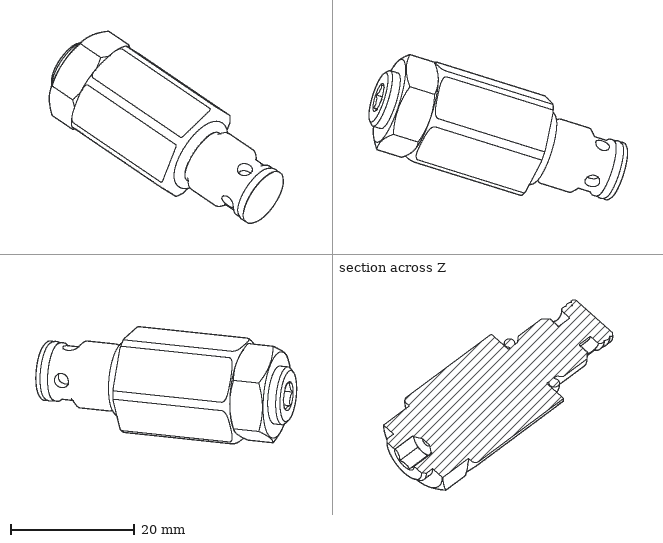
import cadquery as cq
import math


overall_length = 41.86
nut_start = 1.92
body_start = 7.6
body_end = 27.15
large_land_start = 29.2
large_land_end = 36.3
small_land_start = 38.62
seal_groove_start = 39.77
seal_groove_end = 41.05

screw_radius = 4.73
screw_chamfer = 0.55
socket_across_flats = 3.969
socket_depth = 4.0
socket_drill_radius = 2.04
socket_drill_tip_angle = math.radians(118)
socket_drill_end_radius = 0.8
socket_mouth_radius = 2.36

nut_across_flats = 14.2875
nut_outer_face_radius = 7.04
nut_chamfer_angle = math.radians(30)

body_across_flats = 15.8
body_corner_radius = 8.74
body_outer_fillet = 0.87
body_inner_fillet = 0.22

neck_radius = 4.65
large_land_radius = 5.48
port_groove_radius = 4.4
small_land_radius = 4.79
end_flange_radius = 4.87
end_face_radius = 4.45
end_chamfer_length = 0.39
seal_groove_floor_radius = 4.0
neck_fillet = 0.3
rear_land_fillet = 0.4
front_land_fillet = 0.25
port_groove_fillet = 0.2
small_land_cone_fillet = 0.3
small_land_seal_fillet = 0.23
end_flange_fillet = 0.14
end_face_fillet = 0.15

ring_section_radius = 0.89
body_ring_outer_radius = 6.27
body_ring_gap = 0.05
body_ring_center = body_end + ring_section_radius + body_ring_gap
nose_ring_outer_radius = 4.89
nose_ring_center = (seal_groove_start + seal_groove_end) / 2

port_radius = 1.2
port_center = 37.45
port_count = 4
spool_radius = 2.5


def revolve_about_x(profile):
    return profile.close().revolve(360, (0, 0, 0), (1, 0, 0))


def cylinder(start, end, radius):
    return cq.Workplane("YZ").workplane(offset=start).circle(radius).extrude(end - start)


def hexagon(start, end, across_flats, corner_angle):
    """Hexagonal prism along X with one corner at corner_angle degrees from +Y."""
    corner_diameter = across_flats / math.cos(math.pi / 6)
    prism = cq.Workplane("YZ").workplane(offset=start).polygon(6, corner_diameter).extrude(end - start)
    return prism.rotate((0, 0, 0), (1, 0, 0), corner_angle)


def make_screw():
    return cylinder(0, nut_start, screw_radius).faces("<X").chamfer(screw_chamfer)


def make_nut():
    inner_face_radius = nut_across_flats / 2
    corner_radius = inner_face_radius / math.cos(math.pi / 6)
    outer_chamfer_length = (corner_radius - nut_outer_face_radius) * math.tan(nut_chamfer_angle)
    inner_chamfer_length = (corner_radius - inner_face_radius) * math.tan(nut_chamfer_angle)
    envelope = revolve_about_x(
        cq.Workplane("XY")
        .moveTo(nut_start, 0)
        .lineTo(nut_start, nut_outer_face_radius)
        .lineTo(nut_start + outer_chamfer_length, corner_radius)
        .lineTo(body_start - inner_chamfer_length, corner_radius)
        .lineTo(body_start, inner_face_radius)
        .lineTo(body_start, 0)
    )
    return hexagon(nut_start, body_start, nut_across_flats, 90).intersect(envelope)


def make_body():
    envelope = cylinder(body_start, body_end, body_corner_radius)
    envelope = envelope.faces("<X").edges().fillet(body_outer_fillet)
    envelope = envelope.faces(">X").edges().fillet(body_inner_fillet)
    return hexagon(body_start, body_end, body_across_flats, 0).intersect(envelope)


def round_nose_edge(nose, x, radius, fillet):
    """Fillet the circular edge of the given radius at station x."""
    reach = 0.01
    box = cq.selectors.BoxSelector(
        (x - reach, -radius - reach, -radius - reach),
        (x + reach, radius + reach, radius + reach),
        boundingbox=True,
    )
    rim = nose.edges(box).edges(cq.selectors.RadiusNthSelector(-1))
    return rim.fillet(fillet)


def make_nose():
    rear_edge = large_land_start + large_land_radius - neck_radius
    front_edge = large_land_end - (large_land_radius - port_groove_radius)
    small_edge = small_land_start + small_land_radius - port_groove_radius
    nose = revolve_about_x(
        cq.Workplane("XY")
        .moveTo(body_end, 0)
        .lineTo(body_end, neck_radius)
        .lineTo(large_land_start, neck_radius)
        .lineTo(rear_edge, large_land_radius)
        .lineTo(front_edge, large_land_radius)
        .lineTo(large_land_end, port_groove_radius)
        .lineTo(small_land_start, port_groove_radius)
        .lineTo(small_edge, small_land_radius)
        .lineTo(seal_groove_start, small_land_radius)
        .lineTo(seal_groove_start, seal_groove_floor_radius)
        .lineTo(seal_groove_end, seal_groove_floor_radius)
        .lineTo(seal_groove_end, end_flange_radius)
        .lineTo(overall_length - end_chamfer_length, end_flange_radius)
        .lineTo(overall_length, end_face_radius)
        .lineTo(overall_length, 0)
    )
    rounded_edges = [
        (large_land_start, neck_radius, neck_fillet),
        (rear_edge, large_land_radius, rear_land_fillet),
        (front_edge, large_land_radius, front_land_fillet),
        (large_land_end, port_groove_radius, port_groove_fillet),
        (small_land_start, port_groove_radius, port_groove_fillet),
        (small_edge, small_land_radius, small_land_cone_fillet),
        (seal_groove_start, small_land_radius, small_land_seal_fillet),
        (seal_groove_end, end_flange_radius, end_flange_fillet),
        (overall_length - end_chamfer_length, end_flange_radius, end_flange_fillet),
        (overall_length, end_face_radius, end_face_fillet),
    ]
    for x, radius, fillet in rounded_edges:
        nose = round_nose_edge(nose, x, radius, fillet)
    return nose


def make_ring(center, outer_radius):
    center_radius = outer_radius - ring_section_radius
    section = cq.Workplane("XY").moveTo(center, center_radius).circle(ring_section_radius)
    return section.revolve(360, (0, 0, 0), (1, 0, 0))


def make_socket():
    mouth_depth = socket_mouth_radius - socket_drill_radius
    tip_length = (socket_drill_radius - socket_drill_end_radius) / math.tan(socket_drill_tip_angle / 2)
    drill_end = socket_depth + tip_length
    drill = revolve_about_x(
        cq.Workplane("XY")
        .moveTo(0, 0)
        .lineTo(0, socket_mouth_radius)
        .lineTo(mouth_depth, socket_drill_radius)
        .lineTo(socket_depth, socket_drill_radius)
        .lineTo(drill_end, socket_drill_end_radius)
        .lineTo(drill_end, 0)
    )
    return hexagon(0, socket_depth, socket_across_flats, 0).union(drill)


def make_ports():
    """Radial holes around the nose, each ending on the cylindrical spool inside."""
    ports = cq.Workplane("XY")
    for index in range(port_count):
        port = cq.Workplane("XY").center(port_center, 0).circle(port_radius).extrude(large_land_radius)
        ports = ports.union(port.rotate((0, 0, 0), (1, 0, 0), index * 360 / port_count))
    return ports.cut(cylinder(large_land_start, overall_length, spool_radius))


result = (
    make_screw()
    .union(make_nut())
    .union(make_body())
    .union(make_nose())
    .union(make_ring(body_ring_center, body_ring_outer_radius))
    .union(make_ring(nose_ring_center, nose_ring_outer_radius))
    .cut(make_socket())
    .cut(make_ports())
)